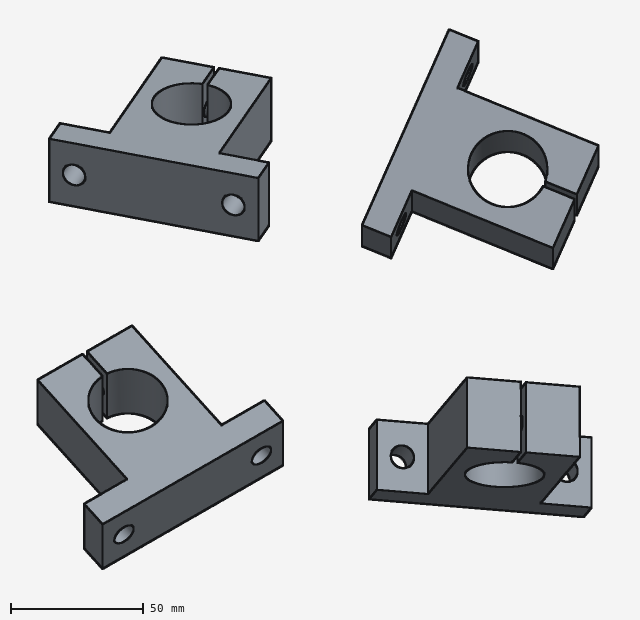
import cadquery as cq

base_width = 84.0
total_height = 70.0
depth = 28.0
base_thickness = 12.0
body_width = 44.0

bore_diameter = 30.0
bore_height = 42.0
slit_width = 2.0

screw_diameter = 6.0
screw_height = 62.0
screw_embedment = 1.7

mount_hole_diameter = 9.0
mount_hole_spacing = 64.0


def block(width, height, y_start):
    """Full-depth block centred on X and Z, starting at y_start."""
    return (
        cq.Workplane("XY")
        .box(width, height, depth, centered=(True, False, True))
        .translate((0, y_start, 0))
    )


def mounting_hole(x):
    """Cylinder through the base along Y."""
    return cq.Workplane("XZ").center(x, 0).circle(mount_hole_diameter / 2).extrude(-base_thickness)


support = block(base_width, base_thickness, 0).union(block(body_width, total_height, 0))

bore = (
    cq.Workplane("XY")
    .center(0, bore_height)
    .circle(bore_diameter / 2)
    .extrude(depth / 2, both=True)
)
slit = block(slit_width, total_height - bore_height, bore_height)
support = support.cut(bore).cut(slit)

for side in (-1, 1):
    support = support.cut(mounting_hole(side * mount_hole_spacing / 2))

screw_length = slit_width + 2 * screw_embedment
screw = (
    cq.Workplane("YZ", origin=(-screw_length / 2, screw_height, 0))
    .circle(screw_diameter / 2)
    .extrude(screw_length)
)
result = support.union(screw)